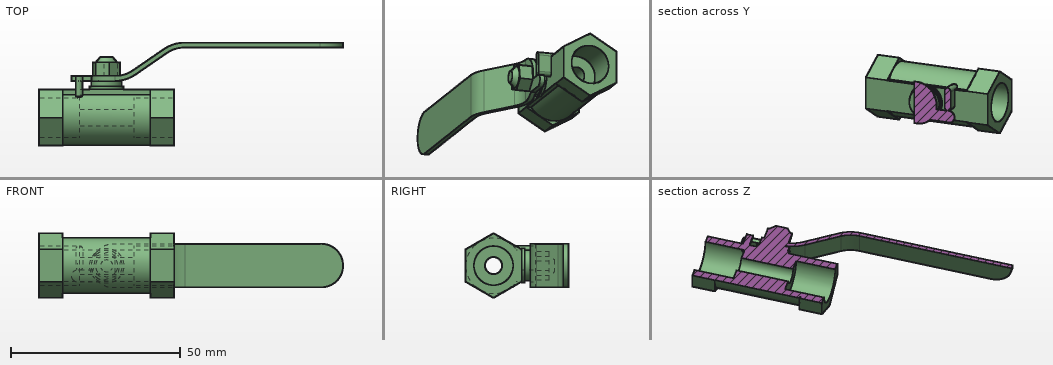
import cadquery as cq
import math

body_length = 40.0
hex_end_length = 7.0
hex_across_corners = 19.17
hex_across_flats = hex_across_corners * math.cos(math.pi / 6)
body_top = hex_across_flats / 2
overall_height = 30.49
barrel_diameter = 16.5
barrel_length = body_length - 2 * hex_end_length
pad_half_width = 4.7

port_diameter = 11.6
port_depth = 12.0
bore_diameter = 5.0

stem_x = body_length / 2
washer_radius = 5.1
washer_top = 9.2
collar_radius = 4.55
nut_across_corners = 8.6
nut_turn = -19.0
nut_height = 4.0
stud_base_radius = 3.25
stud_tip_radius = 1.8
stud_height = 1.65

lever_thickness = 1.5
lever_half_width = 6.45
lever_end_x = 90.0
lever_top = overall_height - body_top
lever_low_bottom = 10.8
lever_low_top = lever_low_bottom + lever_thickness
lever_end_arc_height = 7.0
lever_heel_x = 15.5
bend_radius = 10.0
bend_angle = math.radians(34.5)
lower_bend_start_x = lever_heel_x + lever_end_arc_height

finger_end_x = 9.6
finger_z = -3.0
finger_half_width = 1.8
lug_x = 11.9
lug_thickness = 2.1
lug_z_min = -1.25
lug_z_max = 5.9
lug_bottom = 5.75
lug_chamfer = 0.5


def along_x(x):
    """Work plane facing +X, with local x along +Y and local y along +Z."""
    return cq.Workplane("YZ", origin=(x, 0, 0))


def along_y(y, x=0.0, z=0.0):
    """Work plane facing +Y, with local x along +X and local y along -Z."""
    return cq.Workplane(cq.Plane(origin=(x, y, z), xDir=(1, 0, 0), normal=(0, 1, 0)))


def hex_end(x):
    hexagon = along_x(x).polygon(6, hex_across_corners).extrude(hex_end_length)
    return hexagon.rotate((0, 0, 0), (1, 0, 0), 90)


def valve_body():
    barrel = along_x(hex_end_length).circle(barrel_diameter / 2).extrude(barrel_length)
    pad = along_y(0, x=stem_x).rect(barrel_length, 2 * pad_half_width).extrude(body_top)
    body = barrel.union(pad).union(hex_end(0)).union(hex_end(body_length - hex_end_length))
    body = body.cut(along_x(0).circle(bore_diameter / 2).extrude(body_length))
    for port_start in (0, body_length - port_depth):
        body = body.cut(along_x(port_start).circle(port_diameter / 2).extrude(port_depth))
    return body


def stem():
    washer = along_y(body_top, x=stem_x).circle(washer_radius).extrude(washer_top - body_top)
    collar = along_y(washer_top, x=stem_x).circle(collar_radius).extrude(lever_low_bottom - washer_top)
    return washer.union(collar)


def nut_and_stud():
    nut = along_y(lever_low_top, x=stem_x).polygon(6, nut_across_corners).extrude(nut_height)
    nut = nut.rotate((stem_x, 0, 0), (stem_x, 1, 0), nut_turn)
    stud = (
        cq.Workplane("XY", origin=(stem_x, lever_low_top + nut_height, 0))
        .lineTo(stud_base_radius, 0)
        .lineTo(stud_tip_radius, stud_height)
        .lineTo(0, stud_height)
        .close()
        .revolve(360, (0, 0, 0), (0, 1, 0))
    )
    return nut.union(stud)


def lever_strip():
    """Bent strip with rounded ends: low heel, slope between two equal bends, high flat grip."""
    half = lever_thickness / 2
    low_y = lever_low_bottom + half
    high_y = lever_top - half
    bend_run = bend_radius * math.sin(bend_angle)
    bend_rise = bend_radius * (1 - math.cos(bend_angle))
    slope_run = (high_y - low_y - 2 * bend_rise) / math.tan(bend_angle)
    upper_bend_end_x = lower_bend_start_x + 2 * bend_run + slope_run
    lower_center = (lower_bend_start_x, low_y + bend_radius)
    upper_center = (upper_bend_end_x, high_y - bend_radius)

    def lower_point(radius, angle):
        return (lower_center[0] + radius * math.sin(angle), lower_center[1] - radius * math.cos(angle))

    def upper_point(radius, angle):
        return (upper_center[0] - radius * math.sin(angle), upper_center[1] + radius * math.cos(angle))

    inner = bend_radius - half
    outer = bend_radius + half
    middle = bend_angle / 2
    profile = (
        cq.Workplane("XY")
        .moveTo(lever_heel_x, lever_low_bottom)
        .lineTo(*lower_point(outer, 0))
        .threePointArc(lower_point(outer, middle), lower_point(outer, bend_angle))
        .lineTo(*upper_point(inner, bend_angle))
        .threePointArc(upper_point(inner, middle), upper_point(inner, 0))
        .lineTo(lever_end_x, lever_top - lever_thickness)
        .lineTo(lever_end_x, lever_top)
        .lineTo(*upper_point(outer, 0))
        .threePointArc(upper_point(outer, middle), upper_point(outer, bend_angle))
        .lineTo(*lower_point(inner, bend_angle))
        .threePointArc(lower_point(inner, middle), lower_point(inner, 0))
        .lineTo(lever_heel_x, lever_low_top)
        .close()
    )
    strip_half_width = lever_half_width + lever_thickness
    strip = profile.extrude(strip_half_width, both=True)
    grip_arc_x = lever_end_x - lever_end_arc_height
    outline = (
        along_y(0)
        .moveTo(lower_bend_start_x, -lever_half_width)
        .lineTo(grip_arc_x, -lever_half_width)
        .threePointArc((lever_end_x, 0), (grip_arc_x, lever_half_width))
        .lineTo(lower_bend_start_x, lever_half_width)
        .threePointArc((lever_heel_x, 0), (lower_bend_start_x, -lever_half_width))
        .close()
        .extrude(lever_top)
    )
    return strip.intersect(outline)


def finger():
    round_x = finger_end_x + finger_half_width
    length = stem_x - round_x
    bar = along_y(lever_low_bottom, x=round_x + length / 2, z=finger_z)
    bar = bar.rect(length, 2 * finger_half_width).extrude(lever_thickness)
    tip = along_y(lever_low_bottom, x=round_x, z=finger_z)
    tip = tip.circle(finger_half_width).extrude(lever_thickness)
    return bar.union(tip)


def stop_lug():
    return (
        along_y(lug_bottom, x=lug_x, z=(lug_z_min + lug_z_max) / 2)
        .slot2D(lug_z_max - lug_z_min, lug_thickness, 90)
        .extrude(lever_low_top - lug_bottom)
        .faces("<Y")
        .chamfer(lug_chamfer)
    )


lever = lever_strip().union(finger()).union(stop_lug())
result = valve_body().union(stem()).union(lever).union(nut_and_stud())